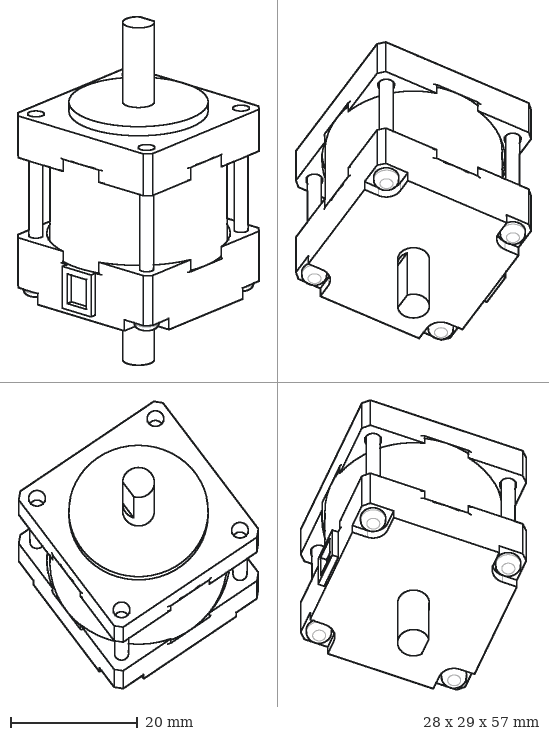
import cadquery as cq


CAP_WIDTH = 28.0
CORNER_CHAMFER = 1.0
REAR_CAP_HEIGHT = 10.3
FRONT_CAP_HEIGHT = 7.05
CAP_GAP = 13.5
SOCKET_DIAMETER = 28.95
SOCKET_DEPTH = 2.05
BOSS_DIAMETER = 22.0
BOSS_HEIGHT = 1.55

STATOR_DIAMETER = CAP_WIDTH

SHAFT_DIAMETER = 5.0
SHAFT_LENGTH = 57
REAR_SHAFT_REACH = 11.1
FLAT_DEPTH = 0.5
FRONT_FLAT_CLEARANCE = 3.5
REAR_FLAT_CLEARANCE = 1.0

SCREW_SPACING = 22.95
SCREW_DIAMETER = 2.2
SCREW_LENGTH = 25.0
SCREW_HOLE_DIAMETER = 2.6
HEAD_DIAMETER = 4.0
HEAD_HEIGHT = 1.5
HEAD_ROUNDING = 0.95
POCKET_WIDTH = 5.0
POCKET_DEPTH = 1.9
POCKET_CORNER_RADIUS = POCKET_WIDTH / 2

CONNECTOR_WIDTH = 6.0
CONNECTOR_HEIGHT = 7.05
CONNECTOR_REACH = 1.0
CONNECTOR_WALL = 1.0

STATOR_BOTTOM = REAR_CAP_HEIGHT - SOCKET_DEPTH
FRONT_CAP_BOTTOM = REAR_CAP_HEIGHT + CAP_GAP
STATOR_TOP = FRONT_CAP_BOTTOM + SOCKET_DEPTH
FRONT_CAP_TOP = FRONT_CAP_BOTTOM + FRONT_CAP_HEIGHT
BOSS_TOP = FRONT_CAP_TOP + BOSS_HEIGHT
SHAFT_BOTTOM = -REAR_SHAFT_REACH
SHAFT_TOP = SHAFT_BOTTOM + SHAFT_LENGTH
CAP_SIDE = CAP_WIDTH / 2
SCREW_OFFSET = SCREW_SPACING / 2
CORNER_SIGNS = [(-1, -1), (1, -1), (1, 1), (-1, 1)]
SCREW_PLACES = [(sx * SCREW_OFFSET, sy * SCREW_OFFSET) for sx, sy in CORNER_SIGNS]


def cylinder(diameter, bottom, top):
    """Upright cylinder on the motor axis."""
    return cq.Workplane("XY").workplane(offset=bottom).circle(diameter / 2).extrude(top - bottom)


def square_block(bottom, height):
    """Square cap blank with chamfered corners."""
    blank = cq.Workplane("XY").workplane(offset=bottom).rect(CAP_WIDTH, CAP_WIDTH).extrude(height)
    return blank.edges("|Z").chamfer(CORNER_CHAMFER)


def screw_holes(diameter, bottom, height):
    """Four cylinders on the screw axes, for drilling a cap."""
    plane = cq.Workplane("XY").workplane(offset=bottom)
    return plane.pushPoints(SCREW_PLACES).circle(diameter / 2).extrude(height)


def head_pocket(sign_x, sign_y):
    """Corner cut for one screw head, with a rounded inner corner and open on both outer sides."""
    centre = CAP_SIDE - POCKET_WIDTH / 2
    pocket = (
        cq.Workplane("XY")
        .center(sign_x * centre, sign_y * centre)
        .rect(POCKET_WIDTH, POCKET_WIDTH)
        .extrude(POCKET_DEPTH)
    )
    inner_x = "<X" if sign_x > 0 else ">X"
    inner_y = "<Y" if sign_y > 0 else ">Y"
    return pocket.edges("|Z").edges(inner_x).edges(inner_y).fillet(POCKET_CORNER_RADIUS)


def make_connector():
    """Rectangular connector frame standing out from the -Y side, level with the socket floor."""
    middle_height = STATOR_BOTTOM - CONNECTOR_HEIGHT / 2
    window_width = CONNECTOR_WIDTH - 2 * CONNECTOR_WALL
    window_height = CONNECTOR_HEIGHT - 2 * CONNECTOR_WALL
    return (
        cq.Workplane("XZ", origin=(0, -CAP_SIDE, middle_height))
        .rect(CONNECTOR_WIDTH, CONNECTOR_HEIGHT)
        .rect(window_width, window_height)
        .extrude(CONNECTOR_REACH)
    )


def make_rear_cap():
    cap = square_block(0, REAR_CAP_HEIGHT)
    cap = cap.cut(cylinder(SOCKET_DIAMETER, STATOR_BOTTOM, REAR_CAP_HEIGHT))
    cap = cap.cut(cylinder(SHAFT_DIAMETER, 0, REAR_CAP_HEIGHT))
    cap = cap.cut(screw_holes(SCREW_DIAMETER, 0, REAR_CAP_HEIGHT))
    for sign_x, sign_y in CORNER_SIGNS:
        cap = cap.cut(head_pocket(sign_x, sign_y))
    return cap.union(make_connector())


def make_front_cap():
    cap = square_block(FRONT_CAP_BOTTOM, FRONT_CAP_HEIGHT)
    cap = cap.union(cylinder(BOSS_DIAMETER, FRONT_CAP_TOP, BOSS_TOP))
    cap = cap.cut(cylinder(SOCKET_DIAMETER, FRONT_CAP_BOTTOM, STATOR_TOP))
    cap = cap.cut(cylinder(SHAFT_DIAMETER, FRONT_CAP_BOTTOM, BOSS_TOP))
    return cap.cut(screw_holes(SCREW_HOLE_DIAMETER, FRONT_CAP_BOTTOM, FRONT_CAP_HEIGHT))


def make_stator():
    stator = cylinder(STATOR_DIAMETER, STATOR_BOTTOM, STATOR_TOP)
    return stator.cut(cylinder(SHAFT_DIAMETER, STATOR_BOTTOM, STATOR_TOP))


def shaft_flat(bottom, top):
    """Block that cuts a flat on the +Y side of the shaft."""
    flat_y = SHAFT_DIAMETER / 2 - FLAT_DEPTH
    block = cq.Workplane("XY").box(
        SHAFT_DIAMETER, SHAFT_DIAMETER, top - bottom, centered=(True, False, False)
    )
    return block.translate((0, flat_y, bottom))


def make_shaft():
    shaft = cylinder(SHAFT_DIAMETER, SHAFT_BOTTOM, SHAFT_TOP)
    shaft = shaft.cut(shaft_flat(BOSS_TOP + FRONT_FLAT_CLEARANCE, SHAFT_TOP))
    return shaft.cut(shaft_flat(SHAFT_BOTTOM, -REAR_FLAT_CLEARANCE))


def make_screw(x, y):
    """Pan-head screw pointing up, with its head seated against the pocket ceiling."""
    head = cq.Workplane("XY").circle(HEAD_DIAMETER / 2).extrude(-HEAD_HEIGHT)
    head = head.faces("<Z").edges().fillet(HEAD_ROUNDING)
    shank = cq.Workplane("XY").circle(SCREW_DIAMETER / 2).extrude(SCREW_LENGTH)
    return head.union(shank).translate((x, y, POCKET_DEPTH))


rear_cap = make_rear_cap()
front_cap = make_front_cap()
stator = make_stator()
shaft = make_shaft()
screws = [make_screw(x, y).val() for x, y in SCREW_PLACES]

result = cq.Compound.makeCompound(
    [rear_cap.val(), front_cap.val(), stator.val(), shaft.val(), *screws]
)